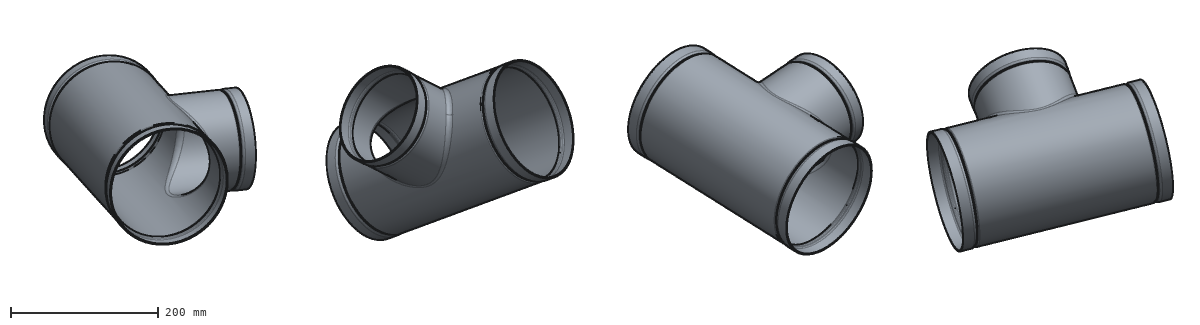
import cadquery as cq
import math


run_length = 298.7
run_lip_diameter = 168.28
run_body_diameter = 167.16
branch_lip_diameter = 139.7
branch_body_diameter = 138.58
branch_reach = run_length / 2
run_lip_bore = 164.21
wall = (run_lip_diameter - run_lip_bore) / 2

lip_to_groove = 17.6
run_groove_diameter = 163.27
branch_groove_diameter = 134.52
groove_floor_width = 1.3
groove_wall_angle = 45.0
shoulder_radius = 5.0
groove_floor_radius = 0.5
body_edge_radius = 0.5

junction_radius = 6.5


def groove_outline(lip_diameter, body_diameter, groove_diameter, inset):
    """Points (distance from end, radius) of one end, offset inwards from the outer skin by inset."""
    lip_radius = lip_diameter / 2
    body_radius = body_diameter / 2
    floor_radius = groove_diameter / 2
    slope = math.tan(math.radians(groove_wall_angle))
    corner_shift = inset * math.tan(math.radians(groove_wall_angle / 2))
    floor_start = lip_to_groove + (lip_radius - floor_radius) / slope
    floor_end = floor_start + groove_floor_width
    body_start = floor_end + (body_radius - floor_radius) / slope
    return [
        (0, lip_radius - inset),
        (lip_to_groove - corner_shift, lip_radius - inset),
        (floor_start - corner_shift, floor_radius - inset),
        (floor_end + corner_shift, floor_radius - inset),
        (body_start + corner_shift, body_radius - inset),
    ]


def round_groove(solid, axis, end, direction, outline, inset):
    """Round the four circular groove edges on a solid of revolution along axis ("X" or "Y")."""
    margin = 0.1
    _, shoulder, floor_start, floor_end, body_edge = outline
    radii = [
        (shoulder, shoulder_radius - inset),
        (floor_start, groove_floor_radius + inset),
        (floor_end, groove_floor_radius + inset),
        (body_edge, body_edge_radius),
    ]
    for (distance, edge_radius), rounding in radii:
        position = end + direction * distance
        reach = edge_radius + margin
        low = (position - margin, -reach, -reach)
        high = (position + margin, reach, reach)
        if axis == "Y":
            low = (low[1], low[0], low[2])
            high = (high[1], high[0], high[2])
        ring = cq.selectors.BoxSelector(low, high, boundingbox=True)
        solid = solid.edges(ring).fillet(rounding)
    return solid


def run_solid(inset):
    """Solid bounded by the run skin at the given inset."""
    outline = groove_outline(run_lip_diameter, run_body_diameter, run_groove_diameter, inset)
    half = run_length / 2
    left = [(distance - half, radius) for distance, radius in outline]
    right = [(-x, radius) for x, radius in reversed(left)]
    profile = cq.Workplane("XY").polyline([(-half, 0)] + left + right + [(half, 0)]).close()
    solid = profile.revolve(360, (0, 0, 0), (1, 0, 0))
    for side in (-1, 1):
        solid = round_groove(solid, "X", side * half, -side, outline, inset)
    return solid


def branch_solid(inset):
    """Solid bounded by the branch skin at the given inset, starting on the run axis."""
    outline = groove_outline(branch_lip_diameter, branch_body_diameter, branch_groove_diameter, inset)
    skin = [(radius, branch_reach - distance) for distance, radius in outline]
    foot = (branch_body_diameter / 2 - inset, 0)
    profile = cq.Workplane("XY").polyline([(0, branch_reach)] + skin + [foot, (0, 0)]).close()
    solid = profile.revolve(360, (0, 0, 0), (0, 1, 0))
    return round_groove(solid, "Y", branch_reach, -1, outline, inset)


def tee_solid(inset, blend_radius):
    """Run and branch joined, with their intersection curve rounded."""
    tee = run_solid(inset).union(branch_solid(inset))
    branch_radius = branch_body_diameter / 2 - inset
    run_radius = run_body_diameter / 2 - inset
    margin = 0.5
    crotch_depth = math.sqrt(run_radius ** 2 - branch_radius ** 2)
    junction = cq.selectors.BoxSelector(
        (-branch_radius - margin, crotch_depth - margin, -branch_radius - margin),
        (branch_radius + margin, run_radius + margin, branch_radius + margin),
        boundingbox=True,
    )
    return tee.edges(junction).fillet(blend_radius)


result = tee_solid(0, junction_radius).cut(tee_solid(wall, junction_radius + wall))